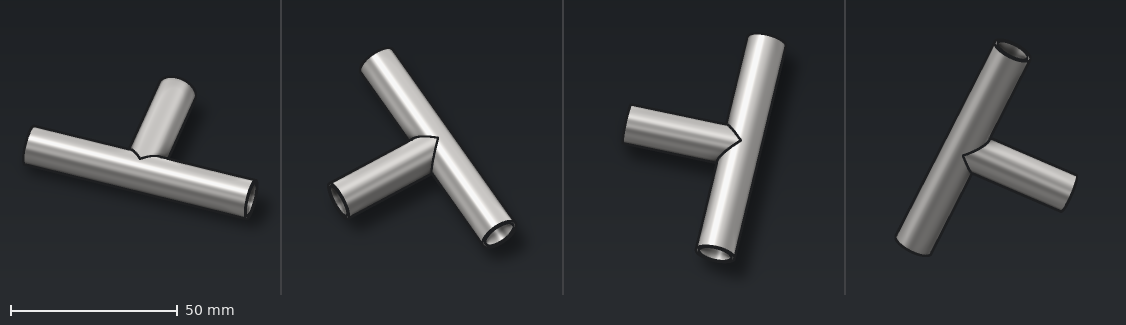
import cadquery as cq

run_length = 70.0
branch_reach = 35.0
outer_diameter = 12.0
bore_diameter = 10.0


def make_run_cylinder(diameter):
    """Solid cylinder along X, as long as the run and centred on the origin."""
    return (
        cq.Workplane("YZ", origin=(-run_length / 2, 0, 0))
        .circle(diameter / 2)
        .extrude(run_length)
    )


def make_run_tube():
    """Straight main tube, open at both ends, its wall unbroken."""
    return make_run_cylinder(outer_diameter).cut(make_run_cylinder(bore_diameter))


def make_branch_tube():
    """Side tube along +Y, its inner end coped to sit on the run's outer wall."""
    tube = (
        cq.Workplane("XZ")
        .circle(outer_diameter / 2)
        .circle(bore_diameter / 2)
        .extrude(-branch_reach)
    )
    return tube.cut(make_run_cylinder(outer_diameter))


run_tube = make_run_tube()
branch_tube = make_branch_tube()

result = cq.Compound.makeCompound([*run_tube.solids().vals(), *branch_tube.solids().vals()])